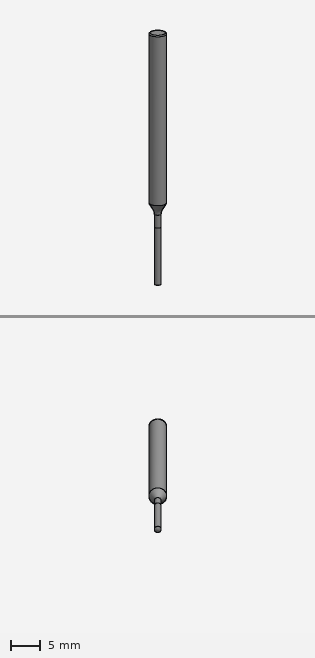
import cadquery as cq
import math

TOTAL_LENGTH = 45.0
SHANK_DIAMETER = 3.0
TOOL_DIAMETER = 1.15

CUTTER_TOP = 10.4
NECK_TOP = 12.7
SHANK_CYLINDER_BOTTOM = 14.7

SHANK_CHAMFER = 0.202
POINT_ANGLE = 140.0
TAPER_HALF_ANGLE = math.radians(30.0)

shank_radius = SHANK_DIAMETER / 2
tool_radius = TOOL_DIAMETER / 2
point_height = tool_radius / math.tan(math.radians(POINT_ANGLE / 2))

taper_height = (shank_radius - tool_radius) / math.tan(TAPER_HALF_ANGLE)
blend_tangent_length = SHANK_CYLINDER_BOTTOM - taper_height - NECK_TOP
blend_radius = blend_tangent_length / math.tan(TAPER_HALF_ANGLE / 2)


def blend_point(angle):
    """Point (radius, height) on the blend arc, at an angle turned from its neck end."""
    radius = tool_radius + blend_radius * (1 - math.cos(angle))
    height = NECK_TOP + blend_radius * math.sin(angle)
    return radius, height


def revolve_about_z(profile):
    """Turn a closed profile of (radius, height) about the Z axis."""
    return profile.close().revolve(360, (0, 0, 0), (0, 1, 0))


def make_shank():
    """Chamfered shank cylinder with a taper that blends down to the neck."""
    profile = (
        cq.Workplane("XZ")
        .moveTo(0, NECK_TOP)
        .lineTo(tool_radius, NECK_TOP)
        .threePointArc(blend_point(TAPER_HALF_ANGLE / 2), blend_point(TAPER_HALF_ANGLE))
        .lineTo(shank_radius, SHANK_CYLINDER_BOTTOM)
        .lineTo(shank_radius, TOTAL_LENGTH - SHANK_CHAMFER)
        .lineTo(shank_radius - SHANK_CHAMFER, TOTAL_LENGTH)
        .lineTo(0, TOTAL_LENGTH)
    )
    return revolve_about_z(profile)


def make_neck():
    """Plain cylinder between the shank and the cutter."""
    return cq.Workplane("XY").workplane(offset=CUTTER_TOP).circle(tool_radius).extrude(NECK_TOP - CUTTER_TOP)


def make_cutter():
    """Cutting cylinder with a conical drill point."""
    profile = (
        cq.Workplane("XZ")
        .moveTo(0, 0)
        .lineTo(tool_radius, point_height)
        .lineTo(tool_radius, CUTTER_TOP)
        .lineTo(0, CUTTER_TOP)
    )
    return revolve_about_z(profile)


shank = make_shank()
neck = make_neck()
cutter = make_cutter()

result = cq.Compound.makeCompound([shank.val(), neck.val(), cutter.val()])